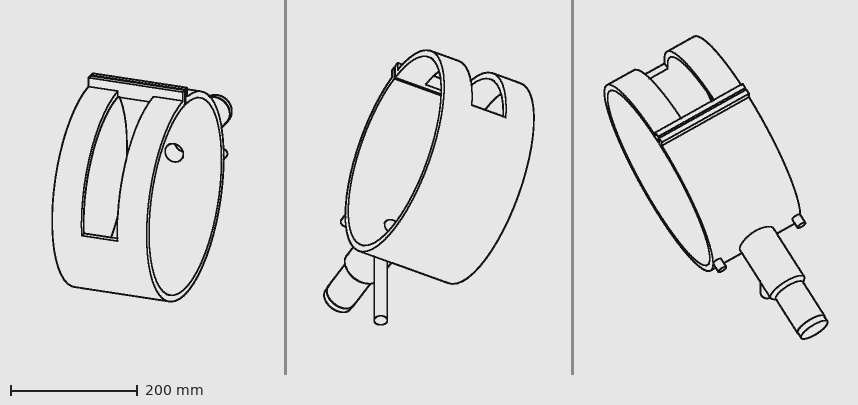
import cadquery as cq

band_width = 160.0
band_radius = 167.5
band_thickness = 10.0
bore_radius = band_radius - band_thickness

flange_top = 182.5
flange_thickness = 8.0
split_gap = 3.0
flange_face = split_gap / 2 + flange_thickness

window_width = 60.5
window_sill = -18.0

peg_diameter = 15.0
peg_end = 183.5
peg_offset = (band_width - peg_diameter) / 2

stem_diameter = 63.0
neck_diameter = 50.5
tip_diameter = 49.0
stem_end = 262.0
neck_start = 268.0
tip_start = 334.5
tip_end = 345.0

pipe_diameter = 21.0
pipe_position = 199.5
pipe_bottom = -165.5

passage_diameter = 31.0


def cylinder_along_x(radius):
    return cq.Workplane("YZ", origin=(-band_width / 2, 0, 0)).circle(radius).extrude(band_width)


def cylinder_along_y(diameter, start, end, x=0):
    """Round bar parallel to Y, at height zero."""
    axis_start = cq.Vector(x, start, 0)
    return cq.Workplane(cq.Solid.makeCylinder(diameter / 2, end - start, axis_start, cq.Vector(0, 1, 0)))


def make_stem():
    """Half profile revolved about Y: stem, tapered shoulder, neck and tip."""
    return (
        cq.Workplane("XY")
        .moveTo(0, 0)
        .lineTo(stem_diameter / 2, 0)
        .lineTo(stem_diameter / 2, stem_end)
        .lineTo(neck_diameter / 2, neck_start)
        .lineTo(neck_diameter / 2, tip_start)
        .lineTo(tip_diameter / 2, tip_start)
        .lineTo(tip_diameter / 2, tip_end)
        .lineTo(0, tip_end)
        .close()
        .revolve(360, (0, 0, 0), (0, 1, 0))
    )


def block_on_centre(depth):
    """Full-width upright block from the ring's axis to the flange top."""
    return cq.Workplane("XY").box(band_width, depth, flange_top, centered=(True, True, False))


def make_window():
    """Cutter for the window, bounded by the plane of the -Y flange face."""
    return (
        cq.Workplane("XY", origin=(0, -flange_face - band_radius / 2, window_sill))
        .rect(window_width, band_radius)
        .extrude(band_radius - window_sill)
    )


def make_clamp():
    clamp = cylinder_along_x(band_radius).union(block_on_centre(2 * flange_face)).union(make_stem())
    for side in (-1, 1):
        clamp = clamp.union(cylinder_along_y(peg_diameter, 0, peg_end, side * peg_offset))
    clamp = clamp.cut(cylinder_along_x(bore_radius))

    clamp = clamp.cut(block_on_centre(split_gap)).cut(make_window())
    return clamp.cut(cylinder_along_y(passage_diameter, 0, pipe_position))


def make_pipe():
    pipe = (
        cq.Workplane("XY", origin=(0, pipe_position, 0))
        .circle(pipe_diameter / 2)
        .extrude(pipe_bottom)
    )
    return pipe.cut(make_stem())


clamp = make_clamp()
pipe = make_pipe()
result = cq.Compound.makeCompound([clamp.val(), pipe.val()])